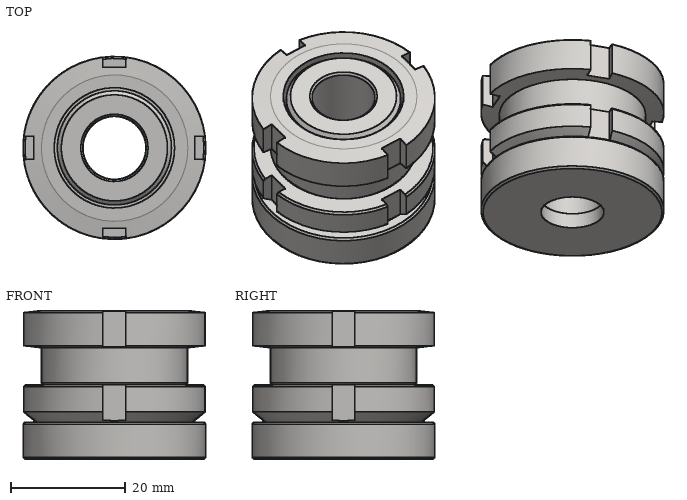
import cadquery as cq
import math

outer_radius = 16.0
total_height = 26.0
bore_radius = 5.5
edge_chamfer = 0.35

base_height = 6.5

flange_top = 2 * base_height
ball_radius = 23.85
ball_center_z = total_height
spindle_radius = 10.0
spindle_chamfer = 0.7
bore_chamfer = 0.4

collar_height = base_height
collar_taper = 0.35
neck_radius = 12.8
neck_chamfer = 0.4
nut_bore_radius = 10.53

slot_count = 4
slot_width = 4.0
slot_floor_radius = 14.08


def ball_z(radius):
    """Height of the lower ball surface at a distance from the axis."""
    return ball_center_z - math.sqrt(ball_radius**2 - radius**2)


def ball_radius_at(height):
    """Distance from the axis to the ball surface at a height."""
    return math.sqrt(ball_radius**2 - (ball_center_z - height) ** 2)


def ball_arc(sketch, start_radius, end_radius):
    """Extend an XZ profile along the ball surface to end_radius."""
    middle_radius = (start_radius + end_radius) / 2
    return sketch.threePointArc(
        (middle_radius, ball_z(middle_radius)), (end_radius, ball_z(end_radius))
    )


def revolve_about_z(sketch):
    return sketch.close().revolve(360, (0, 0, 0), (0, 1, 0))


def cut_spanner_slots(body, bottom, top):
    """Cut evenly spaced slots into the rim between two heights."""
    slot_depth = outer_radius - slot_floor_radius
    cutter = (
        cq.Workplane("XY", origin=(0, 0, bottom))
        .center(slot_floor_radius + slot_depth, 0)
        .rect(2 * slot_depth, slot_width)
        .extrude(top - bottom)
    )
    for index in range(slot_count):
        body = body.cut(cutter.rotate((0, 0, 0), (0, 0, 1), index * 360 / slot_count))
    return body


def make_base():
    """Round base with a spherical seat that fits the spindle flange."""
    seat_radius = ball_radius_at(base_height)
    profile = (
        cq.Workplane("XZ")
        .moveTo(bore_radius, 0)
        .lineTo(outer_radius - edge_chamfer, 0)
        .lineTo(outer_radius, edge_chamfer)
        .lineTo(outer_radius, base_height - edge_chamfer)
        .lineTo(outer_radius - edge_chamfer, base_height)
        .lineTo(seat_radius, base_height)
    )
    return revolve_about_z(ball_arc(profile, seat_radius, bore_radius))


def make_spindle():
    """Hollow spindle whose slotted flange has a ball-shaped underside."""
    profile = cq.Workplane("XZ").moveTo(bore_radius, ball_z(bore_radius))
    profile = (
        ball_arc(profile, bore_radius, outer_radius)
        .lineTo(outer_radius, flange_top - edge_chamfer)
        .lineTo(outer_radius - edge_chamfer, flange_top)
        .lineTo(spindle_radius, flange_top)
        .lineTo(spindle_radius, total_height - spindle_chamfer)
        .lineTo(spindle_radius - spindle_chamfer, total_height)
        .lineTo(bore_radius + bore_chamfer, total_height)
        .lineTo(bore_radius, total_height - bore_chamfer)
    )
    return cut_spanner_slots(revolve_about_z(profile), base_height, flange_top)


def make_collar_nut():
    """Nut around the spindle, with clearance: a slotted collar above a plain neck."""
    collar_bottom = total_height - collar_height
    profile = (
        cq.Workplane("XZ")
        .moveTo(nut_bore_radius, flange_top)
        .lineTo(neck_radius - neck_chamfer, flange_top)
        .lineTo(neck_radius, flange_top + neck_chamfer)
        .lineTo(neck_radius, collar_bottom)
        .lineTo(outer_radius, collar_bottom + collar_taper)
        .lineTo(outer_radius, total_height - collar_taper)
        .lineTo(neck_radius, total_height)
        .lineTo(nut_bore_radius, total_height)
    )
    return cut_spanner_slots(revolve_about_z(profile), collar_bottom, total_height)


base = make_base()
spindle = make_spindle()
collar_nut = make_collar_nut()

result = cq.Compound.makeCompound([base.val(), spindle.val(), collar_nut.val()])